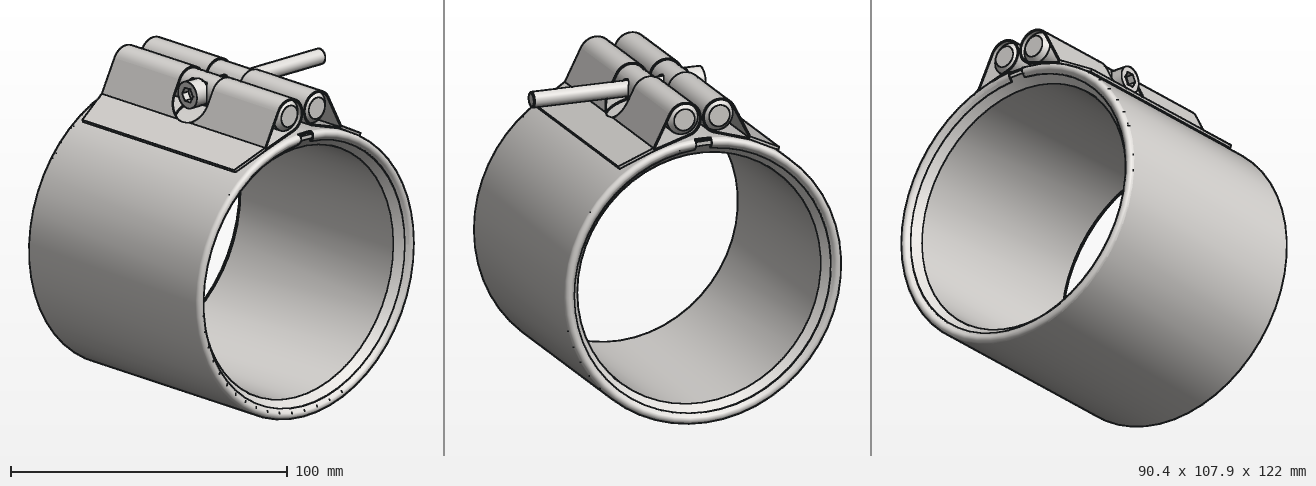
import cadquery as cq
import math


casing_radius = 53.97
sheet = 0.55
casing_half_length = 45.2
rim_bend_radius = 1.7
lip_angle = 45.0
lip_length = 1.6
rim_gap = 6.1

seal_bore_radius = 94.8 / 2
seal_radius = casing_radius - sheet

rod_radius = 12.0 / 2
rod_y = 6.8
rod_z = 61.5
rod_half_length = 43.0
rod_chamfer = 2.0
bolt_hole_diameter = 7.0
head_seat_diameter = 11.5

loop_radius = rod_radius + sheet
wall_angle = 27.0
tail_angle = 17.0
base_angle = 27.0
base_half_run = 7.2
tip_half_length = 40.0
window_radius = 8.9
window_overrun = 0.5

shank_diameter = 5.9
tip_chamfer = 0.43
tip_y = 49.3
head_diameter = 10.0
head_seat_y = -10.9
head_length = 6.0
socket_width = 5.0
socket_depth = 3.0
socket_turn = 30.0

bend_x = casing_half_length - rim_bend_radius
bend_r = casing_radius - rim_bend_radius
inner_bend_radius = rim_bend_radius - sheet
lip_sine = math.sin(math.radians(lip_angle))
lip_cosine = math.cos(math.radians(lip_angle))


def revolve_about_x(profile):
    """Revolves a profile, drawn with X along the axis and Y as radius, about the X axis."""
    return profile.close().revolve(360, (0, 0, 0), (1, 0, 0))


def bend_point(radius, degrees):
    """Point on the rim bend; 90 degrees faces away from the axis and 0 faces the open end."""
    angle = math.radians(degrees)
    return (bend_x + radius * math.cos(angle), bend_r + radius * math.sin(angle))


def along_lip(start):
    """Point one lip length from the start, inward along the lip."""
    return (start[0] - lip_length * lip_cosine, start[1] - lip_length * lip_sine)


def rim():
    """Rim at the +X end: a bend, then a straight lip, with a notch at the top."""
    bend_end = lip_angle - 90
    lip_outside = bend_point(rim_bend_radius, bend_end)
    lip_inside = bend_point(inner_bend_radius, bend_end)
    profile = (
        cq.Workplane("XY")
        .moveTo(bend_x, casing_radius)
        .threePointArc(bend_point(rim_bend_radius, 0), lip_outside)
        .lineTo(*along_lip(lip_outside))
        .lineTo(*along_lip(lip_inside))
        .lineTo(*lip_inside)
        .threePointArc(bend_point(inner_bend_radius, 0), (bend_x, casing_radius - sheet))
    )
    notch = cq.Workplane("XY").box(
        casing_half_length, rim_gap, casing_radius, centered=(False, True, False)
    )
    return revolve_about_x(profile).cut(notch)


def make_casing():
    tube = (
        cq.Workplane("YZ", origin=(-bend_x, 0, 0))
        .circle(casing_radius)
        .circle(casing_radius - sheet)
        .extrude(2 * bend_x)
    )
    return tube.union(rim()).union(rim().mirror("YZ"))


def make_seal():
    end_x, cone_outer_r = bend_point(inner_bend_radius, lip_angle - 90)
    cone_inner_x = end_x - (cone_outer_r - seal_bore_radius) * lip_cosine / lip_sine
    end_face_r = bend_point(inner_bend_radius, 90 - lip_angle)[1]
    right_side = [
        (cone_inner_x, seal_bore_radius),
        (end_x, cone_outer_r),
        (end_x, end_face_r),
        (bend_x, seal_radius),
    ]
    left_side = [(-x, r) for x, r in reversed(right_side)]
    return revolve_about_x(cq.Workplane("XY").polyline(right_side + left_side))


def y_cylinder(diameter, start_y, end_y):
    """Cylinder on the bolt axis."""
    return (
        cq.Workplane("XZ", origin=(0, start_y, rod_z))
        .circle(diameter / 2)
        .extrude(start_y - end_y)
    )


def make_rod(y):
    rod = (
        cq.Workplane("YZ", origin=(-rod_half_length, y, rod_z))
        .circle(rod_radius)
        .extrude(2 * rod_half_length)
        .faces("<X or >X")
        .chamfer(rod_chamfer)
    )
    return rod.cut(y_cylinder(bolt_hole_diameter, y - loop_radius, y + loop_radius))


def direction(degrees):
    """Unit vector in the YZ plane, turned from +Y towards +Z."""
    return cq.Vector(math.cos(math.radians(degrees)), math.sin(math.radians(degrees)))


def crossing(normal_a, offset_a, normal_b, offset_b):
    """Meeting point of two lines, each given by its normal and its distance from the origin."""
    det = normal_a.x * normal_b.y - normal_a.y * normal_b.x
    return cq.Vector(
        (offset_a * normal_b.y - offset_b * normal_a.y) / det,
        (offset_b * normal_a.x - offset_a * normal_b.x) / det,
    )


def make_lug():
    """Lug on the +Y side."""
    centre = cq.Vector(rod_y, rod_z)
    wall_normal = direction(wall_angle)
    tail_normal = direction(-90 - tail_angle)
    base_normal = direction(90 - base_angle)
    base_run = direction(-base_angle) * base_half_run
    loop_side = direction(180 - tail_angle)

    def wall_offset(radius):
        return centre.dot(wall_normal) + radius

    def tail_offset(radius):
        return centre.dot(tail_normal) + radius

    base_top = casing_radius + 2 * sheet
    top_bend = crossing(wall_normal, wall_offset(loop_radius), base_normal, base_top)
    low_bend = crossing(tail_normal, tail_offset(loop_radius), base_normal, casing_radius)
    inner_corner = crossing(
        wall_normal, wall_offset(rod_radius), tail_normal, tail_offset(rod_radius)
    )

    def loop(radius, corner_points):
        """Closed outline: arc round the rod, then lines through the corner points."""
        outline = (
            cq.Workplane("YZ", origin=(-rod_half_length, 0, 0))
            .moveTo(*(centre + wall_normal * radius).toTuple()[:2])
            .threePointArc(
                (centre + loop_side * radius).toTuple()[:2],
                (centre + tail_normal * radius).toTuple()[:2],
            )
        )
        for point in corner_points:
            outline = outline.lineTo(point.x, point.y)
        return outline.close().extrude(2 * rod_half_length)

    low_tip = base_normal * casing_radius + base_run
    top_tip = base_normal * base_top + base_run
    lug = loop(loop_radius, [low_bend, low_tip, top_tip, top_bend])
    lug = lug.cut(loop(rod_radius, [inner_corner]))

    for side in (-1, 1):
        bevel = (
            cq.Workplane("XY")
            .polyline([
                (side * rod_half_length, top_bend.x),
                (side * rod_half_length, top_tip.x),
                (side * tip_half_length, top_tip.x),
            ])
            .close()
            .extrude(rod_z)
        )
        lug = lug.cut(bevel)

    window_length = 4 * window_radius
    window_end_y = top_bend.x + window_overrun
    window_slot = (
        cq.Workplane("XY", origin=(0, window_end_y - window_length / 2, 0))
        .slot2D(window_length, 2 * window_radius, 90)
        .extrude(rod_z + loop_radius)
    )
    window_bend = (
        cq.Workplane(cq.Plane(
            origin=(0, top_bend.x, top_bend.y),
            xDir=(1, 0, 0),
            normal=(0, wall_normal.x, wall_normal.y),
        ))
        .center(0, window_overrun - window_length / 2)
        .slot2D(window_length, 2 * window_radius, 90)
        .extrude(2 * loop_radius, both=True)
    )
    return lug.cut(window_slot).cut(window_bend)


def make_bolt():
    head_end_y = head_seat_y - head_length
    shank = y_cylinder(shank_diameter, head_seat_y, tip_y).faces(">Y").chamfer(tip_chamfer)
    head = y_cylinder(head_diameter, head_end_y, head_seat_y)
    socket = (
        cq.Workplane("XZ", origin=(0, head_end_y, rod_z))
        .transformed(rotate=(0, 0, socket_turn))
        .polygon(6, socket_width, circumscribed=True)
        .extrude(-socket_depth)
    )
    return shank.union(head).cut(socket)


casing = make_casing()
seal = make_seal()
lugs = [make_lug(), make_lug().mirror("XZ")]
rods = [make_rod(y) for y in (-rod_y, rod_y)]
rods[0] = rods[0].cut(y_cylinder(head_seat_diameter, -rod_y - loop_radius, head_seat_y))
bolt = make_bolt()

result = cq.Compound.makeCompound(
    [
        casing.val(),
        seal.val(),
        *[lug.val() for lug in lugs],
        *[rod.val() for rod in rods],
        bolt.val(),
    ]
)